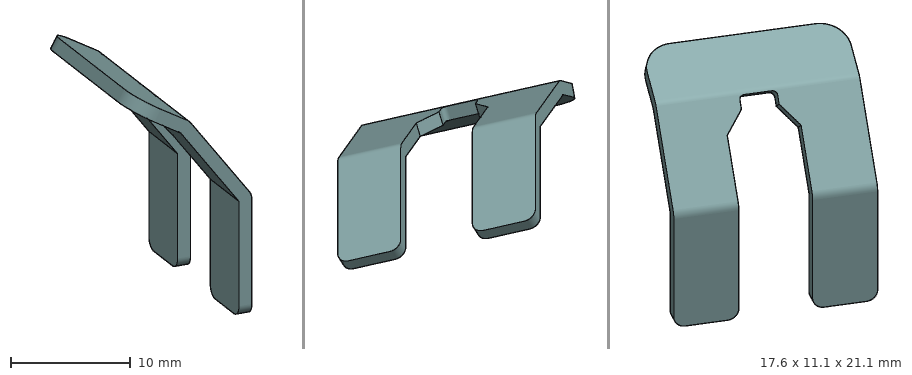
import cadquery as cq
import math

width = 17.6
depth = 11.14
height = 21.1

thickness = 1.2
leg_height = 10.4
web_run = 5.35
flange_angle = math.radians(30)
flange_corner_radius = 2.5
leg_corner_radius = 1.0

slot_width = 6.37
neck_width = 3.25
neck_length = 1.2
taper_end = 3.2
neck_corner_radius = 0.45

leg_front = -thickness
upper_bend_y = leg_front - web_run
flange_run = depth - thickness - web_run
flange_rise = flange_run * math.tan(flange_angle)
upper_bend_z = height - flange_rise - thickness * math.cos(flange_angle)
web_rise = upper_bend_z - leg_height
web_length = math.hypot(web_run, web_rise)
web_angle = math.atan2(web_rise, web_run)


def offset_point(y, z, angle):
    """Point on the outer face, one thickness from (y, z), for a sheet at this angle above horizontal."""
    return (y + thickness * math.sin(angle), z + thickness * math.cos(angle))


def bent_sheet():
    """Constant-thickness strip with sharp inner bends and round outer bends."""
    lower_bend = (leg_front, leg_height)
    upper_bend = (upper_bend_y, upper_bend_z)
    tip = (-depth, upper_bend_z + flange_rise)
    lower_bend_angle = (math.pi / 2 + web_angle) / 2
    upper_bend_angle = (web_angle + flange_angle) / 2
    return (
        cq.Workplane("YZ")
        .moveTo(0, 0)
        .lineTo(leg_front, 0)
        .lineTo(*lower_bend)
        .lineTo(*upper_bend)
        .lineTo(*tip)
        .lineTo(*offset_point(*tip, flange_angle))
        .lineTo(*offset_point(*upper_bend, flange_angle))
        .threePointArc(
            offset_point(*upper_bend, upper_bend_angle),
            offset_point(*upper_bend, web_angle),
        )
        .lineTo(*offset_point(*lower_bend, web_angle))
        .threePointArc(offset_point(*lower_bend, lower_bend_angle), (0, leg_height))
        .close()
        .extrude(width / 2, both=True)
    )


def web_slot():
    """Stepped slot cut square to the web, ending at the upper bend."""
    web_plane = cq.Plane(
        origin=(0, upper_bend_y, upper_bend_z),
        xDir=(1, 0, 0),
        normal=(0, -math.sin(web_angle), -math.cos(web_angle)),
    )
    slot_bottom = -web_length - thickness
    outline = [
        (-slot_width / 2, slot_bottom),
        (-slot_width / 2, -taper_end),
        (-neck_width / 2, -neck_length),
        (-neck_width / 2, 0),
        (neck_width / 2, 0),
        (neck_width / 2, -neck_length),
        (slot_width / 2, -taper_end),
        (slot_width / 2, slot_bottom),
    ]
    cutter = cq.Workplane(web_plane).polyline(outline).close().extrude(2 * thickness, both=True)
    neck_end = cutter.faces(cq.selectors.DirectionMinMaxSelector(web_plane.yDir))
    return neck_end.edges(cq.selectors.ParallelDirSelector(web_plane.zDir)).fillet(neck_corner_radius)


def leg_slot():
    """Open gap between the two legs."""
    return cq.Workplane("XY").rect(slot_width, 2 * depth).extrude(leg_height)


flange_normal = cq.Vector(0, math.sin(flange_angle), math.cos(flange_angle))
flange_corners = cq.selectors.ParallelDirSelector(flange_normal)

sheet = bent_sheet().edges(flange_corners).fillet(flange_corner_radius)
slotted = sheet.cut(web_slot()).cut(leg_slot())
result = slotted.faces("<Z").edges("|Y").fillet(leg_corner_radius)